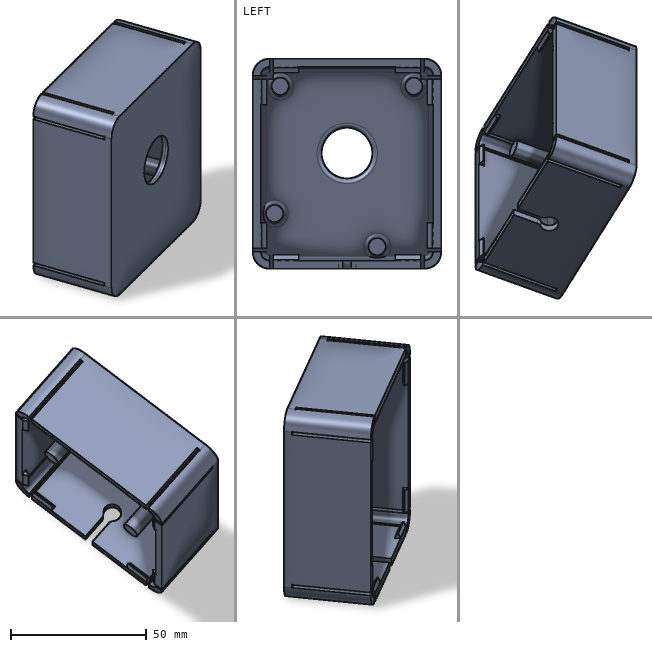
import cadquery as cq
import math

depth = 32.88
width = 69.85
height = 77.79
wall = 3.05
corner_radius = 6.35
inner_fillet = 1.83
fillet_mid_offset = inner_fillet * (1 - math.sqrt(0.5))
half_width = width / 2
half_height = height / 2
floor_x = depth - wall

slot_width = 1.25
slot_end = corner_radius + slot_width

tab_length = 9.4
tab_base = 2.25
tab_peak_x = 0.9
tab_land = 0.25
tab_rim_rise = 0.3
tab_rise = 2.1

hole_diameter = 18.67
hole_z = 3.95

pin_diameter = 6.35
pin_end_x = 10.75
top_pin_inset = 10.2
side_pin_inset = 8.13
side_pin_height = 20.5
bottom_pin_inset = 23.8
bottom_pin_height = 8.24
pin_places = [
    (half_width - top_pin_inset, half_height - top_pin_inset),
    (top_pin_inset - half_width, half_height - top_pin_inset),
    (half_width - side_pin_inset, side_pin_height - half_height),
    (bottom_pin_inset - half_width, bottom_pin_height - half_height),
]

entry_diameter = 6.65
entry_x = 13.65
neck_width = 3.3
entry_blend = 2.5


def make_shell():
    """Rounded open box with filleted cavity floor."""
    outer = (
        cq.Workplane("YZ")
        .rect(width, height)
        .extrude(depth)
        .edges("|X")
        .fillet(corner_radius)
    )
    cavity = (
        cq.Workplane("YZ")
        .rect(width - 2 * wall, height - 2 * wall)
        .extrude(floor_x)
        .edges("|X")
        .fillet(corner_radius - wall)
        .faces(">X")
        .edges()
        .fillet(inner_fillet)
    )
    return outer.cut(cavity)


def make_pin(y, z):
    """Round pin whose foot flares into the floor with a concave fillet."""
    radius = pin_diameter / 2
    foot_radius = radius + inner_fillet
    fillet_start_x = floor_x - inner_fillet
    profile = (
        cq.Workplane("XY")
        .moveTo(pin_end_x, 0)
        .lineTo(pin_end_x, radius)
        .lineTo(fillet_start_x, radius)
        .threePointArc((floor_x - fillet_mid_offset, radius + fillet_mid_offset), (floor_x, foot_radius))
        .lineTo(depth, foot_radius)
        .lineTo(depth, 0)
        .close()
    )
    return profile.revolve(360, (0, 0, 0), (1, 0, 0)).translate((0, y, z))


def make_tab(wall_distance, along_start):
    """Ridge inside a wall whose outer face is at y = wall_distance; runs up Z from along_start."""
    inner_face = wall_distance - wall
    root = wall_distance - wall / 2
    return (
        cq.Workplane("XY", origin=(0, 0, along_start))
        .moveTo(0, root)
        .lineTo(0, inner_face - tab_rim_rise)
        .lineTo(tab_peak_x, inner_face - tab_rise)
        .lineTo(tab_peak_x + tab_land, inner_face - tab_rise)
        .lineTo(tab_base, inner_face)
        .lineTo(tab_base, root)
        .close()
        .extrude(tab_length)
    )


def add_tabs(body):
    """Two tabs on each of the four walls, ending at the corner slots."""
    for turn in range(4):
        if turn % 2 == 0:
            wall_distance, half_span = half_width, half_height
        else:
            wall_distance, half_span = half_height, half_width
        tab_start = half_span - slot_end - tab_length
        tab = make_tab(wall_distance, tab_start)
        pair = tab.union(tab.mirror("XY"))
        body = body.union(pair.rotate((0, 0, 0), (1, 0, 0), turn * 90))
    return body


def cut_corner_slots(body):
    """Two crossing slots per corner, as deep as the cavity."""
    slot_inset = slot_end - slot_width / 2
    for y_side in (-1, 1):
        for z_side in (-1, 1):
            slot_in_z_wall = (
                cq.Workplane("YZ")
                .center(y_side * (half_width - slot_inset), z_side * (half_height - slot_end / 2))
                .rect(slot_width, slot_end)
                .extrude(floor_x)
            )
            slot_in_y_wall = (
                cq.Workplane("YZ")
                .center(y_side * (half_width - slot_end / 2), z_side * (half_height - slot_inset))
                .rect(slot_end, slot_width)
                .extrude(floor_x)
            )
            body = body.cut(slot_in_z_wall).cut(slot_in_y_wall)
    return body


def cut_floor_hole(body):
    """Hole through the floor, its inner edge rounded by a convex fillet."""
    radius = hole_diameter / 2
    mouth_radius = radius + inner_fillet
    rounding_mid = (floor_x + fillet_mid_offset, radius + fillet_mid_offset)
    rounding_end = (floor_x + inner_fillet, radius)
    cutter = (
        cq.Workplane("XY")
        .moveTo(floor_x, 0)
        .lineTo(floor_x, mouth_radius)
        .threePointArc(rounding_mid, rounding_end)
        .lineTo(depth, radius)
        .lineTo(depth, 0)
        .close()
        .revolve(360, (0, 0, 0), (1, 0, 0))
        .translate((0, 0, hole_z))
    )
    return body.cut(cutter)


def cut_cable_entry(body):
    """Keyhole in the -Z wall; convex arcs blend the straight neck into the round hole."""
    radius = entry_diameter / 2
    half_neck = neck_width / 2
    blend_center_y = half_neck + entry_blend
    center_distance = radius + entry_blend
    blend_center_x = entry_x - math.sqrt(center_distance**2 - blend_center_y**2)
    joint_x = entry_x - (entry_x - blend_center_x) * radius / center_distance
    joint_y = blend_center_y * radius / center_distance
    half_blend_angle = math.acos(blend_center_y / center_distance) / 2
    blend_x = blend_center_x + entry_blend * math.sin(half_blend_angle)
    blend_y = blend_center_y - entry_blend * math.cos(half_blend_angle)
    keyhole = (
        cq.Workplane("XY", origin=(0, 0, -half_height))
        .moveTo(0, half_neck)
        .lineTo(blend_center_x, half_neck)
        .threePointArc((blend_x, blend_y), (joint_x, joint_y))
        .threePointArc((entry_x + radius, 0), (joint_x, -joint_y))
        .threePointArc((blend_x, -blend_y), (blend_center_x, -half_neck))
        .lineTo(0, -half_neck)
        .close()
        .extrude(wall)
    )
    return body.cut(keyhole)


body = make_shell()
for pin_y, pin_z in pin_places:
    body = body.union(make_pin(pin_y, pin_z))
body = add_tabs(body)
body = cut_corner_slots(body)
body = cut_floor_hole(body)
result = cut_cable_entry(body)